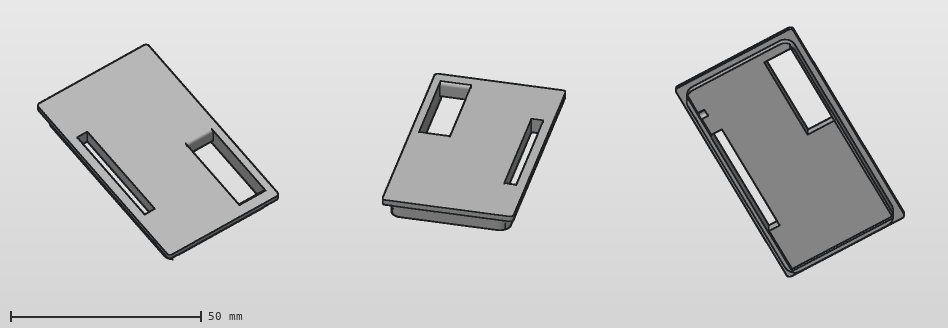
import cadquery as cq
import math

length = 60.9
width = 35.4
height = 5.95
plate_thickness = 1.6
plate_corner_radius = 1.0

body_inset = 1.6
body_corner_radius = 3.0
body_length = length - 2 * body_inset
body_width = width - 2 * body_inset

wall = 1.1
recess_depth = 1.65

window_left = 2.45
window_right = 27.2
window_front = 7.1
window_back = 15.45
left_round = 0.75
ramp_run = 0.5
ramp_drop = 0.35
lip_radius = 1.0
lip_angle = math.radians(45)

slot_length = 31.0
slot_width = 3.2
slot_y = -13.45

hole_diameter = 2.0
hole_depth = 3.0
hole_x = 21.55
hole_z = 1.95


def rounded_block(size_x, size_y, size_z, radius):
    block = cq.Workplane("XY").box(size_x, size_y, size_z, centered=(True, True, False))
    return block.edges("|Z").fillet(radius)


def underside_recess():
    left = -body_length / 2 + wall
    front = -body_width / 2 + wall
    return (
        cq.Workplane("XY", origin=(left, front, 0))
        .box(length / 2 - left, window_back - front, recess_depth, centered=False)
    )


def lip_offset(angle):
    """Return how far the lip arc stands out from the vertical wall and above its lower end."""
    return lip_radius * (1 - math.cos(angle)), lip_radius * math.sin(angle)


def display_window():
    """Cut with a rounded left edge, and a right ramp that rounds over into its vertical wall."""
    lip_run, lip_rise = lip_offset(lip_angle)
    mid_run, mid_rise = lip_offset(lip_angle / 2)
    lip_top = height - ramp_drop
    lip_bottom = lip_top - lip_rise
    left_wall = window_left + left_round
    right_wall = window_right - ramp_run - lip_run
    return (
        cq.Workplane("XZ", origin=(0, window_back, 0))
        .moveTo(left_wall, 0)
        .lineTo(right_wall, 0)
        .lineTo(right_wall, lip_bottom)
        .threePointArc((right_wall + mid_run, lip_bottom + mid_rise), (right_wall + lip_run, lip_top))
        .lineTo(window_right, height)
        .lineTo(window_left, height)
        .radiusArc((left_wall, height - left_round), left_round)
        .close()
        .extrude(window_back - window_front)
    )


def front_slot():
    return (
        cq.Workplane("XY")
        .box(slot_length, slot_width, height, centered=(True, True, False))
        .translate((0, slot_y, 0))
    )


def front_hole():
    return (
        cq.Workplane("XZ", origin=(hole_x, -body_width / 2, hole_z))
        .circle(hole_diameter / 2)
        .extrude(-hole_depth)
    )


plate = rounded_block(length, width, plate_thickness, plate_corner_radius)
plate = plate.translate((0, 0, height - plate_thickness))
body = rounded_block(body_length, body_width, height - plate_thickness, body_corner_radius)

result = (
    body.union(plate)
    .cut(underside_recess())
    .cut(display_window())
    .cut(front_slot())
    .cut(front_hole())
)